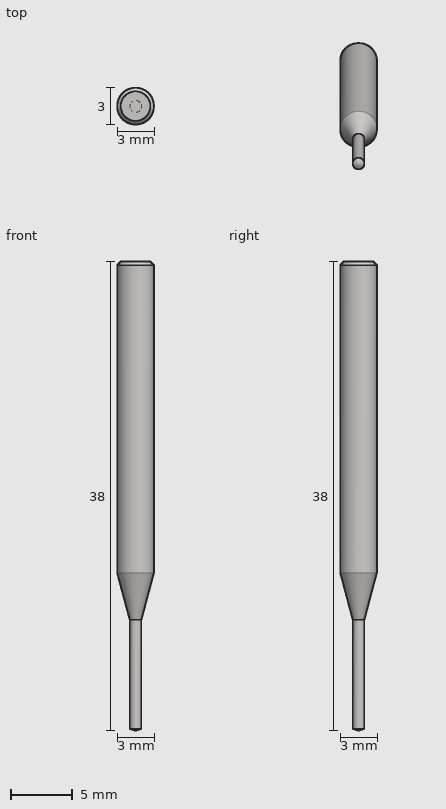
import cadquery as cq
import math

overall_length = 38.0
shank_radius = 3.0 / 2
drill_radius = 0.96 / 2
drill_length = 9.0
taper_half_angle = 15.0
point_angle = 140.0
end_chamfer = 0.3

point_height = drill_radius / math.tan(math.radians(point_angle / 2))
taper_height = (shank_radius - drill_radius) / math.tan(math.radians(taper_half_angle))
shoulder_z = drill_length + taper_height


def revolve_profile(points):
    """Turn a closed (radius, height) outline about the Z axis."""
    return cq.Workplane("XZ").polyline(points).close().revolve(360, (0, 0), (0, 1))


drill = revolve_profile([
    (0, 0),
    (drill_radius, point_height),
    (drill_radius, drill_length),
    (0, drill_length),
])

shank = revolve_profile([
    (0, drill_length),
    (drill_radius, drill_length),
    (shank_radius, shoulder_z),
    (shank_radius, overall_length),
    (0, overall_length),
]).faces(">Z").chamfer(end_chamfer)

result = cq.Compound.makeCompound([drill.val(), shank.val()])